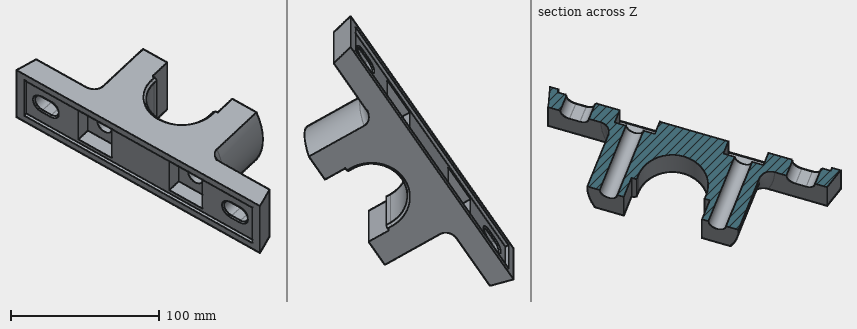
import cadquery as cq
import math

length = 208.0
depth = 68.0
height = 46.0

base_thickness = 16.2
end_angle = 15.0

saddle_edge_width = 97.0
saddle_middle_width = 108.2
root_radius = 8.0

seat_radius = 24.1
seat_chamfer = 1.9
seat_center_y = 48.3
mouth_width = 55.5
mouth_depth = 16.2

recess_length = 195.0
recess_height = 34.5
recess_depth = 2.5

bolt_spacing = 77.5
bolt_diameter = 12.3
pocket_side = 28.3
pocket_depth = 10.5

slot_spacing = 161.5
slot_length = 20.2
slot_height = 12.7
slot_chamfer = 1.0


def along_y(start_y):
    """Workplane in XZ at start_y; positive extrusion runs toward +Y."""
    return cq.Workplane(cq.Plane(origin=(0, start_y, 0), xDir=(1, 0, 0), normal=(0, 1, 0)))


def make_base():
    half_front = length / 2
    half_back = half_front - base_thickness * math.tan(math.radians(end_angle))
    outline = [
        (-half_front, 0),
        (half_front, 0),
        (half_back, base_thickness),
        (-half_back, base_thickness),
    ]
    return cq.Workplane("XY").polyline(outline).close().extrude(height / 2, both=True)


def make_saddle():
    half_edge = saddle_edge_width / 2
    half_middle = saddle_middle_width / 2
    half_height = height / 2
    return (
        along_y(0)
        .moveTo(-half_edge, -half_height)
        .lineTo(half_edge, -half_height)
        .threePointArc((half_middle, 0), (half_edge, half_height))
        .lineTo(-half_edge, half_height)
        .threePointArc((-half_middle, 0), (-half_edge, -half_height))
        .close()
        .extrude(depth)
    )


def round_saddle_roots(body):
    """Fillet both curved edges where the saddle flanks meet the base."""
    reach = saddle_middle_width / 2 + root_radius
    margin = 0.2
    roots = cq.selectors.BoxSelector(
        (-reach, base_thickness - margin, -height),
        (reach, base_thickness + margin, height),
        boundingbox=True,
    )
    return body.edges(roots).fillet(root_radius)


def u_outline(plane, radius):
    """U-shaped outline of the seat, reaching back to the mouth."""
    mouth_y = depth - mouth_depth
    return (
        plane.moveTo(-radius, mouth_y)
        .lineTo(-radius, seat_center_y)
        .threePointArc((0, seat_center_y - radius), (radius, seat_center_y))
        .lineTo(radius, mouth_y)
        .close()
    )


def make_cradle():
    mouth = cq.Workplane("XY").box(mouth_width, mouth_depth, height)
    mouth = mouth.translate((0, depth - mouth_depth / 2, 0))
    seat = u_outline(cq.Workplane("XY"), seat_radius).extrude(height / 2, both=True)
    rim = u_outline(cq.Workplane("XY", origin=(0, 0, height / 2 - seat_chamfer)), seat_radius)
    rim = u_outline(rim.workplane(offset=seat_chamfer), seat_radius + seat_chamfer).loft(ruled=True)
    return mouth.union(seat).union(rim).union(rim.mirror("XY"))


def make_recess():
    return along_y(0).rect(recess_length, recess_height).extrude(recess_depth)


def make_bolt_seats():
    centers = [(-bolt_spacing / 2, 0), (bolt_spacing / 2, 0)]
    pockets = along_y(recess_depth).pushPoints(centers).rect(pocket_side, pocket_side).extrude(pocket_depth)
    holes = along_y(0).pushPoints(centers).circle(bolt_diameter / 2).extrude(depth)
    return pockets.union(holes)


def make_slots():
    centers = [(-slot_spacing / 2, 0), (slot_spacing / 2, 0)]
    through = along_y(0).pushPoints(centers).slot2D(slot_length, slot_height).extrude(base_thickness)
    rim_growth = 2 * slot_chamfer
    rims = (
        along_y(recess_depth)
        .pushPoints(centers)
        .slot2D(slot_length + rim_growth, slot_height + rim_growth)
        .extrude(slot_chamfer, taper=45)
    )
    return through.union(rims)


result = round_saddle_roots(make_base().union(make_saddle()))
for cutter in (make_cradle(), make_recess(), make_bolt_seats(), make_slots()):
    result = result.cut(cutter)